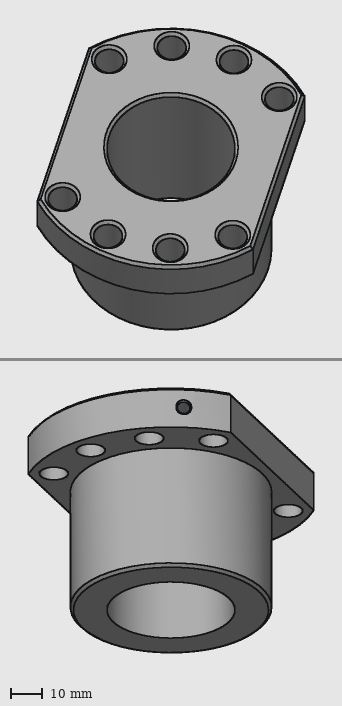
import cadquery as cq
import math

flange_diameter = 93.0
flange_width = 70.0
flange_thickness = 14.0
flange_chamfer = 1.0

total_height = 55.0
flange_bottom = total_height - flange_thickness
body_diameter = 63.0
body_chamfer = 1.0
bore_diameter = 40.0
bore_chamfer = 1.0

bolt_circle_diameter = 78.0
bolt_hole_diameter = 9.0
bolt_hole_chamfer = 1.0
bolt_hole_angles = (45.0, 75.0)

oil_hole_diameter = 4.0
oil_hole_chamfer = 0.5
oil_hole_angle = 120.0
oil_hole_depth = 15.0

overlap = 1.0


def make_flange():
    """Disc cut by two parallel flats, with its whole top edge chamfered."""
    disc = (
        cq.Workplane("XY")
        .workplane(offset=flange_bottom)
        .circle(flange_diameter / 2)
        .extrude(flange_thickness)
    )
    slab = cq.Workplane("XY").box(
        flange_width, flange_diameter + 2 * overlap, total_height, centered=(True, True, False)
    )
    return disc.intersect(slab).faces(">Z").edges().chamfer(flange_chamfer)


def make_body():
    """Cylinder with a chamfered lower rim."""
    body = cq.Workplane("XY").circle(body_diameter / 2).extrude(flange_bottom + overlap)
    return body.faces("<Z").edges().chamfer(body_chamfer)


def top_chamfered_hole(diameter, chamfer):
    """Cutter for a vertical through hole with a 45 degree chamfer at the top face."""
    radius = diameter / 2
    shaft = cq.Workplane("XY").circle(radius).extrude(total_height)
    cone = cq.Solid.makeCone(
        radius, radius + chamfer, chamfer, pnt=cq.Vector(0, 0, total_height - chamfer)
    )
    return shaft.union(cone)


def bolt_hole_points():
    """Hole centres on the bolt circle, mirrored about X and Y."""
    points = []
    for angle in bolt_hole_angles:
        x = bolt_circle_diameter / 2 * math.cos(math.radians(angle))
        y = bolt_circle_diameter / 2 * math.sin(math.radians(angle))
        points += [(x, y), (-x, y), (-x, -y), (x, -y)]
    return points


def make_oil_hole():
    """Cutter for the radial hole at mid flange thickness, flared at the flange rim."""
    hole_radius = oil_hole_diameter / 2
    rim_radius = flange_diameter / 2
    angle = math.radians(oil_hole_angle)
    outward = cq.Vector(math.cos(angle), math.sin(angle), 0)
    mid_flange = cq.Vector(0, 0, flange_bottom + flange_thickness / 2)
    shaft = cq.Solid.makeCylinder(
        hole_radius,
        oil_hole_depth + overlap,
        mid_flange + outward * (rim_radius - oil_hole_depth),
        outward,
    )
    flare = cq.Solid.makeCone(
        hole_radius,
        hole_radius + oil_hole_chamfer,
        oil_hole_chamfer,
        mid_flange + outward * (rim_radius - oil_hole_chamfer),
        outward,
    )
    return cq.Workplane(shaft).union(flare)


result = make_flange().union(make_body())
result = result.cut(top_chamfered_hole(bore_diameter, bore_chamfer))
bolt_hole = top_chamfered_hole(bolt_hole_diameter, bolt_hole_chamfer)
for x, y in bolt_hole_points():
    result = result.cut(bolt_hole.translate((x, y, 0)))
result = result.cut(make_oil_hole())